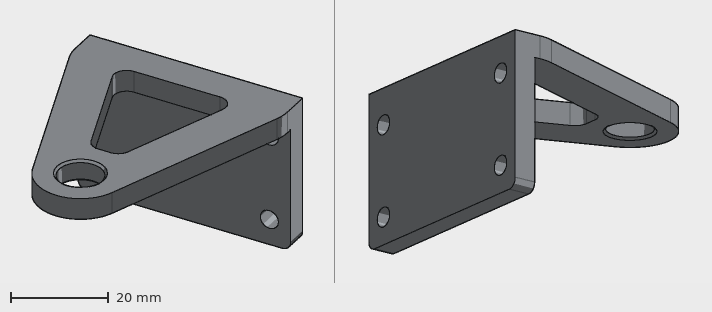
import cadquery as cq
import math

width = 50.0
length = 57.95
height = 34.0
thickness = 5.0

eye_radius = 9.95
eye_hole_diameter = 9.95
eye_chamfer = 0.5
eye_y = -(length - eye_radius)
shoulder_depth = 8.0
shoulder_radius = 9.95

window_back_y = -shoulder_depth
window_front_y = -37.95
window_corner_radius = 3.0

mount_hole_diameter = 4.25
mount_hole_spacing = 20.0
mount_span = 2 * mount_hole_spacing
mount_top_drop = 8.0
plate_corner_radius = 2.0

half_width = width / 2
shoulder_run = -shoulder_depth - eye_y
shoulder_distance = math.hypot(half_width, shoulder_run)
taper = math.atan2(half_width, shoulder_run) - math.asin(eye_radius / shoulder_distance)
tangent_x = eye_radius * math.cos(taper)
tangent_y = eye_y - eye_radius * math.sin(taper)


def window_half_width(y):
    """Distance from the centre plane to the window side at a given Y."""
    return (y - eye_y) * math.tan(taper)


def make_arm():
    arm = (
        cq.Workplane("XY")
        .moveTo(-half_width, 0)
        .lineTo(half_width, 0)
        .lineTo(half_width, -shoulder_depth)
        .lineTo(tangent_x, tangent_y)
        .threePointArc((0, -length), (-tangent_x, tangent_y))
        .lineTo(-half_width, -shoulder_depth)
        .close()
        .extrude(-thickness)
    )
    shoulder_centres = [(side * half_width, -shoulder_depth, -thickness / 2) for side in (-1, 1)]
    for centre in shoulder_centres:
        arm = arm.edges(cq.NearestToPointSelector(centre)).fillet(shoulder_radius)
    return arm


def make_window():
    back_x = window_half_width(window_back_y)
    front_x = window_half_width(window_front_y)
    return (
        cq.Workplane("XY")
        .polyline([
            (-back_x, window_back_y),
            (back_x, window_back_y),
            (front_x, window_front_y),
            (-front_x, window_front_y),
        ])
        .close()
        .extrude(-thickness)
        .edges("|Z")
        .fillet(window_corner_radius)
    )


def make_eye_hole():
    hole_radius = eye_hole_diameter / 2
    bore = cq.Workplane("XY").center(0, eye_y).circle(hole_radius).extrude(-thickness)
    for face_z, inward in ((0, -1), (-thickness, 1)):
        lead_in = cq.Solid.makeCone(
            hole_radius + eye_chamfer,
            hole_radius,
            eye_chamfer,
            cq.Vector(0, eye_y, face_z),
            cq.Vector(0, 0, inward),
        )
        bore = bore.union(cq.Workplane(obj=lead_in))
    return bore


def make_plate():
    plate = (
        cq.Workplane("XY")
        .box(width, thickness, height, centered=(True, False, False))
        .translate((0, -thickness, -height))
        .edges("|Y and <Z")
        .fillet(plate_corner_radius)
    )
    holes = (
        cq.Workplane("XZ")
        .center(0, -mount_top_drop - mount_hole_spacing / 2)
        .rarray(mount_span, mount_hole_spacing, 2, 2)
        .circle(mount_hole_diameter / 2)
        .extrude(thickness)
    )
    return plate.cut(holes)


result = make_arm().union(make_plate()).cut(make_window()).cut(make_eye_hole())